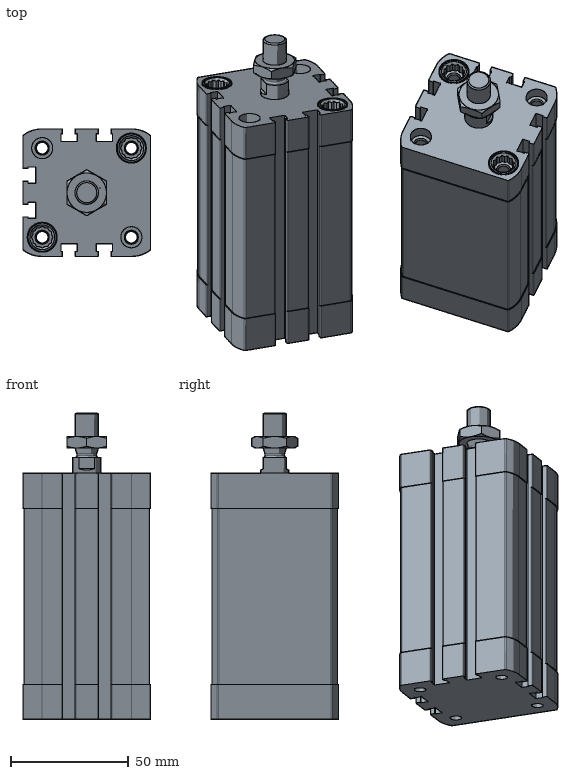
import cadquery as cq
import math


width = 54.5
housing_height = 105.0
cap_height = 15.0
barrel_inset = 0.4
corner_radius = 13.5
corner_edge_radius = 0.8

slot_offset = 7.5
slot_mouth = 5.4
slot_mouth_shift = 0.15
slot_mouth_fillet = 0.35
slot_width = 6.8
slot_depth = 5.4
slot_lip = 2.2

hole_offset = 19.0
thread_core_diameter = 4.92
thread_diameter = 6.0
counterbore_diameter = 9.0
counterbore_depth = 5.0

screw_diameter = 12.0
screw_recess_diameter = 12.8
screw_gap_depth = 0.5
screw_chamfer_diameter = 10.6
socket_across_flats = 8.0
socket_depth = 5.0

rod_diameter = 12.0
rod_projection = 25.7
rod_depth = cap_height
shoulder_height = 6.7
rod_thread_diameter = 10.0
rod_end_diameter = 8.57
rod_end_chamfer = 0.5
undercut_diameter = 8.5
undercut_fillet = 0.8
undercut_length = 1.6
flats_across = 10.0
flat_bottom = 1.9
flat_ramp_drop = 0.55

nut_across_flats = 17.0
nut_height = 5.0
nut_bottom = housing_height + 10.7
nut_chamfer_diameter = 16.8
nut_chamfer_angle = 30.0

half_width = width / 2
hole_centers = [(x, y) for x in (-hole_offset, hole_offset) for y in (-hole_offset, hole_offset)]
screw_centers = [(-hole_offset, -hole_offset), (hole_offset, hole_offset)]
plain_centers = [center for center in hole_centers if center not in screw_centers]


def cylinder(diameter, bottom, height):
    return cq.Workplane("XY").workplane(offset=bottom).circle(diameter / 2).extrude(height)


def cone(bottom_diameter, top_diameter, bottom, height):
    solid = cq.Solid.makeCone(bottom_diameter / 2, top_diameter / 2, height, cq.Vector(0, 0, bottom))
    return cq.Workplane(solid)


def hexagon_corners(across_flats):
    return across_flats / math.cos(math.radians(30))


def hexagon_prism(across_flats, bottom, height):
    """Hexagonal prism with two of its sides facing +X and -X."""
    outline = cq.Workplane("XY").workplane(offset=bottom).polygon(6, hexagon_corners(across_flats))
    return outline.extrude(height).rotate((0, 0, 0), (0, 0, 1), 30)


def rounded_block(inset, bottom, height):
    """Block with arc corners, tangent to the Y sides and meeting the X sides at a small round edge."""
    half = half_width - inset
    block = cq.Workplane("XY").box(2 * half, 2 * half, height, (True, True, False))
    radius = corner_radius - inset
    arc_center_y = half - radius
    for side_x in (-1, 1):
        for side_y in (-1, 1):
            arc_center = (side_x * hole_offset, side_y * arc_center_y)
            disc = cq.Workplane("XY").center(*arc_center).circle(radius).extrude(height)
            reach = half - hole_offset
            corner = (
                cq.Workplane("XY")
                .center(side_x * (hole_offset + reach / 2), side_y * (half - radius / 2))
                .rect(reach, radius)
                .extrude(height)
            )
            block = block.cut(corner.cut(disc))
    arc_end_y = arc_center_y + math.sqrt(radius**2 - (half - hole_offset) ** 2)
    margin = corner_edge_radius / 8
    for x in (-half, half):
        for y in (-arc_end_y, arc_end_y):
            corner_edge = cq.selectors.BoxSelector(
                (x - margin, y - margin, 0), (x + margin, y + margin, height)
            )
            block = block.edges(corner_edge).fillet(corner_edge_radius)
    return block.translate((0, 0, bottom))


def slot_cutter(side, inset, bottom, height):
    """T-slot opening to -Y, with round edges at its mouth; side is -1 or 1 for its X position."""
    mouth_x = side * (slot_offset + slot_mouth_shift)
    half_mouth = slot_mouth / 2
    half_flare = half_mouth + slot_mouth_fillet
    outer_y = -half_width + inset
    inner_y = outer_y + slot_mouth_fillet
    pocket_floor_y = -half_width + slot_depth
    mouth = (
        cq.Workplane("XY")
        .moveTo(mouth_x - half_flare, outer_y)
        .radiusArc((mouth_x - half_mouth, inner_y), -slot_mouth_fillet)
        .lineTo(mouth_x - half_mouth, pocket_floor_y)
        .lineTo(mouth_x + half_mouth, pocket_floor_y)
        .lineTo(mouth_x + half_mouth, inner_y)
        .radiusArc((mouth_x + half_flare, outer_y), -slot_mouth_fillet)
        .close()
        .extrude(height)
    )
    pocket_depth = slot_depth - slot_lip
    pocket = (
        cq.Workplane("XY")
        .center(side * slot_offset, pocket_floor_y - pocket_depth / 2)
        .rect(slot_width, pocket_depth)
        .extrude(height)
    )
    return mouth.union(pocket).translate((0, 0, bottom))


def housing_section(inset, bottom, height):
    """One length of the housing, with two T-slots on each side except +X."""
    section = rounded_block(inset, bottom, height)
    slotted_side_angles = (0, 180, -90)
    for angle in slotted_side_angles:
        for side in (-1, 1):
            slot = slot_cutter(side, inset, bottom, height)
            section = section.cut(slot.rotate((0, 0, 0), (0, 0, 1), angle))
    return section


def fastening_hole(recess_depth):
    """Threaded hole through the housing, countersunk below a recess of the given depth."""
    countersink_depth = (thread_diameter - thread_core_diameter) / 2
    seat = housing_height - recess_depth
    hole = cylinder(thread_core_diameter, 0, housing_height)
    countersink = cone(thread_core_diameter, thread_diameter, seat - countersink_depth, countersink_depth)
    return hole.union(countersink)


def plain_corner():
    bore = cylinder(counterbore_diameter, housing_height - counterbore_depth, counterbore_depth)
    return fastening_hole(counterbore_depth).union(bore)


def bearing_screw_corner():
    """Gap around the screw head, plus its twelve-point socket with a chamfered rim."""
    gap = cylinder(screw_recess_diameter, housing_height - screw_gap_depth, screw_gap_depth)
    gap = gap.cut(cylinder(screw_diameter, housing_height - screw_gap_depth, screw_gap_depth))
    socket_bottom = housing_height - socket_depth
    hexagon = hexagon_prism(socket_across_flats, socket_bottom, socket_depth)
    socket = hexagon.union(hexagon.rotate((0, 0, 0), (0, 0, 1), 30))
    rim_depth = (screw_chamfer_diameter - socket_across_flats) / 2
    rim = cone(socket_across_flats, screw_chamfer_diameter, housing_height - rim_depth, rim_depth)
    return fastening_hole(socket_depth).union(socket).union(rim).union(gap)


def make_housing():
    barrel_height = housing_height - 2 * cap_height
    body = housing_section(0, 0, cap_height)
    body = body.union(housing_section(barrel_inset, cap_height, barrel_height))
    body = body.union(housing_section(0, housing_height - cap_height, cap_height))
    for x, y in plain_centers:
        body = body.cut(plain_corner().translate((x, y, 0)))
    for x, y in screw_centers:
        body = body.cut(bearing_screw_corner().translate((x, y, 0)))
    return body.cut(cylinder(rod_diameter, housing_height - rod_depth, rod_depth))


def make_rod():
    shoulder = housing_height + shoulder_height
    undercut_radius = undercut_diameter / 2
    thread_radius = rod_thread_diameter / 2
    cone_bottom = shoulder + undercut_length
    rod_top = housing_height + rod_projection
    bend = undercut_fillet * math.sqrt(0.5)
    fillet_center = (undercut_radius + undercut_fillet, shoulder + undercut_fillet)
    rod = (
        cq.Workplane("XZ")
        .moveTo(0, housing_height - rod_depth)
        .lineTo(rod_diameter / 2, housing_height - rod_depth)
        .lineTo(rod_diameter / 2, shoulder)
        .lineTo(fillet_center[0], shoulder)
        .threePointArc(
            (fillet_center[0] - bend, fillet_center[1] - bend), (undercut_radius, fillet_center[1])
        )
        .lineTo(undercut_radius, cone_bottom)
        .lineTo(thread_radius, nut_bottom)
        .lineTo(thread_radius, rod_top - rod_end_chamfer)
        .lineTo(rod_end_diameter / 2, rod_top)
        .lineTo(0, rod_top)
        .close()
        .revolve(360, (0, 0, 0), (0, 1, 0))
    )
    return rod.cut(wrench_flat()).cut(wrench_flat().mirror("XZ"))


def wrench_flat():
    """Cutter for the flat on the -Y side of the rod; its lower end ramps out of the rod."""
    flat_y = -flats_across / 2
    outer_y = -rod_diameter / 2
    bottom = housing_height + flat_bottom
    top = housing_height + shoulder_height
    profile = [(flat_y, bottom), (flat_y, top), (outer_y, top), (outer_y, bottom - flat_ramp_drop)]
    half_length = rod_diameter / 2
    return cq.Workplane("YZ").polyline(profile).close().extrude(half_length, both=True)


def make_nut():
    """Nut with two of its six sides facing +X and -X and both ends chamfered."""
    across_corners = hexagon_corners(nut_across_flats)
    chamfer_height = (across_corners - nut_chamfer_diameter) / 2 * math.tan(math.radians(nut_chamfer_angle))
    hexagon = hexagon_prism(nut_across_flats, 0, nut_height)
    envelope = cylinder(across_corners, chamfer_height, nut_height - 2 * chamfer_height)
    envelope = envelope.union(cone(nut_chamfer_diameter, across_corners, 0, chamfer_height))
    upper_cone = cone(across_corners, nut_chamfer_diameter, nut_height - chamfer_height, chamfer_height)
    nut = hexagon.intersect(envelope.union(upper_cone))
    return nut.cut(cylinder(rod_thread_diameter, 0, nut_height)).translate((0, 0, nut_bottom))


housing = make_housing()
rod = make_rod()
nut = make_nut()

result = cq.Compound.makeCompound([body.solids().val() for body in (housing, rod, nut)])